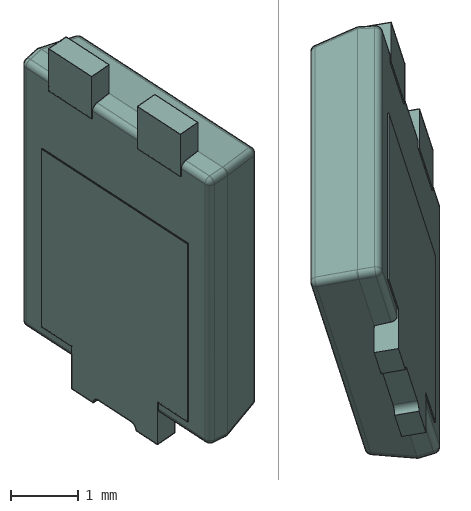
import cadquery as cq

body_width = 3.97
body_height = 5.365
overall_depth = 1.13
parting_y = 0.37
back_draft = 10.0
front_draft = 5.0
edge_radius = 0.105

standoff = 0.02
overall_height = 6.51
lead_thickness = parting_y
lead_width = 0.89
lead_length = 0.845
lead_spacing = 1.84

pad_width = 3.04
pad_top = 1.15
pad_bottom = lead_length - overall_height / 2
tab_width = 1.785

notch_width = 0.885
notch_depth = 0.12
notch_corner_radius = 0.11


def body_half(length, draft):
    """Tapered block extruded from the parting plane; a negative length runs towards the front."""
    return (
        cq.Workplane("XZ", origin=(0, parting_y, 0))
        .rect(body_width, body_height)
        .extrude(-length, taper=draft)
    )


def make_body():
    back = body_half(overall_depth - parting_y, back_draft)
    front = body_half(standoff - parting_y, front_draft)
    body = back.union(front)
    rounded_edges = body.edges().filter(lambda edge: abs(edge.Center().y - parting_y) > edge_radius)
    return rounded_edges.fillet(edge_radius)


def plate(width, bottom, top, center_x=0.0):
    """Plate of lead thickness, front face at y = 0."""
    return (
        cq.Workplane("XY", origin=(center_x, 0, bottom))
        .box(width, lead_thickness, top - bottom, centered=(True, False, False))
    )


def make_pad():
    tab_end = -overall_height / 2
    pad = plate(pad_width, pad_bottom, pad_top)
    tab = plate(tab_width, tab_end, pad_bottom)
    notch = plate(notch_width, tab_end, tab_end + notch_depth)
    notch = notch.edges("|Y and >Z").fillet(notch_corner_radius)
    return pad.union(tab).cut(notch)


def make_lead(side):
    """Small lead at the top end; side is -1 or 1."""
    lead_top = overall_height / 2
    return plate(lead_width, lead_top - lead_length, lead_top, side * lead_spacing / 2)


result = make_body().union(make_pad())
for side in (-1, 1):
    result = result.union(make_lead(side))